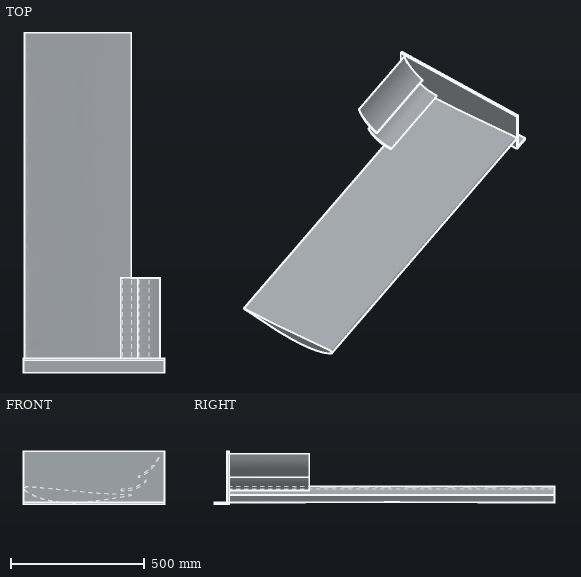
import cadquery as cq

plate_length = 530.0
plate_height = 200.0
plate_thickness = 8.0
foot_width = 47.0
foot_thickness = 8.0

total_depth = 1276.0
root_y = foot_width + plate_thickness
main_span = total_depth - root_y
flap_span = 301.0

main_nose = (4.0, 59.0)
main_crest = (28.0, 68.0)
main_top_middle = (217.0, 48.0)
main_trailing_top = (405.0, 37.0)
main_trailing_bottom = (405.0, 35.0)
main_chin = (14.0, 47.0)
main_belly = (140.0, 9.0)

lower_flap_upper_face = [(369.0, 59.0), (421.0, 68.0), (470.0, 102.0)]
upper_flap_upper_face = [(431.0, 107.0), (484.0, 147.0), (513.0, 190.0)]
lower_flap_thickness = 6.0
upper_flap_thickness = 5.0


def section_plane():
    """XZ plane at the root, where a negative extrusion runs toward +Y."""
    return cq.Workplane("XZ", origin=(0, root_y, 0))


def make_end_plate():
    """L-shaped section in YZ, extruded along X."""
    return (
        cq.Workplane("YZ")
        .moveTo(0, 0)
        .lineTo(root_y, 0)
        .lineTo(root_y, plate_height)
        .lineTo(foot_width, plate_height)
        .lineTo(foot_width, foot_thickness)
        .lineTo(0, foot_thickness)
        .close()
        .extrude(plate_length)
    )


def make_main_wing():
    """Cambered wing with a round nose, a full belly and a thin trailing edge."""
    nose_up = (0, 1)
    top_slope = (1, -0.04)
    belly_slope = (-1, -0.15)
    chin_slope = (-1, 0.7)
    return (
        section_plane()
        .moveTo(*main_nose)
        .spline([main_crest, main_top_middle, main_trailing_top],
                tangents=[nose_up, top_slope], includeCurrent=True)
        .lineTo(*main_trailing_bottom)
        .spline([main_belly, main_chin],
                tangents=[belly_slope, chin_slope], includeCurrent=True)
        .spline([main_nose], tangents=[chin_slope, nose_up], includeCurrent=True)
        .close()
        .extrude(-main_span)
    )


def make_flap(upper_face, thickness):
    """Curved blade with a round nose, tapering to a sharp trailing edge."""
    nose_top, middle, trailing = upper_face
    nose_bottom = (nose_top[0] + thickness / 4, nose_top[1] - thickness)
    belly = (middle[0] + thickness / 2, middle[1] - thickness)
    return (
        section_plane()
        .moveTo(*trailing)
        .threePointArc(middle, nose_top)
        .tangentArcPoint(nose_bottom, relative=False)
        .threePointArc(belly, trailing)
        .close()
        .extrude(-flap_span)
    )


end_plate = make_end_plate()
main_wing = make_main_wing()
lower_flap = make_flap(lower_flap_upper_face, lower_flap_thickness)
upper_flap = make_flap(upper_flap_upper_face, upper_flap_thickness)

result = cq.Compound.makeCompound(
    [end_plate.val(), main_wing.val(), lower_flap.val(), upper_flap.val()]
)